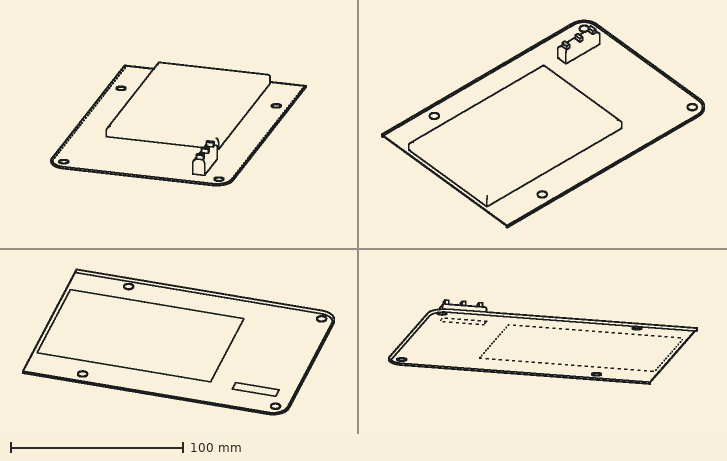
import cadquery as cq
plate_width = 110.0
plate_length = 159.0
plate_thickness = 1.6
sheet_thickness = 0.5
rim_width = 1.1
rim_edge_radius = 1.03
corner_radius = 10.0

hole_diameter = 5.5
hole_edge_distance = 8.0
hole_row_spacing = 117.0

display_width = 68.0
display_length = 105.3
display_top = 7.8
display_edge_radius = 2.2
display_back_margin = 2.5

connector_width = 7.0
connector_length = 26.4
connector_top = 10.5
connector_edge_radius = 1.5
connector_x = 34.0
connector_y = -55.6
tab_width = 4.1
tab_length = 2.2
tab_top = 13.0
tab_pitch = 10.2
tab_count = 3

front_y = -plate_length / 2
back_y = plate_length / 2


def rounded_slab(width, length, height, radius):
    """Slab on Z = 0, flush with the back of the plate, with rounded front corners."""
    slab = cq.Workplane("XY").box(width, length, height, centered=(True, True, False))
    slab = slab.translate((0, back_y - length / 2, 0))
    return slab.edges("|Z and <Y").fillet(radius)


def make_holes():
    """Four round cutters for the mounting holes."""
    hole_x = plate_width / 2 - hole_edge_distance
    first_row_y = front_y + hole_edge_distance
    hole_points = [
        (x, y)
        for x in (-hole_x, hole_x)
        for y in (first_row_y, first_row_y + hole_row_spacing)
    ]
    return (
        cq.Workplane("XY")
        .pushPoints(hole_points)
        .circle(hole_diameter / 2)
        .extrude(plate_thickness)
    )


def make_plate():
    """Thin sheet with holes and a round-edged rim below, open along the back."""
    plate = rounded_slab(plate_width, plate_length, plate_thickness, corner_radius)
    plate = plate.faces("<Z").edges("not >Y").fillet(rim_edge_radius)
    hollow = rounded_slab(
        plate_width - 2 * rim_width,
        plate_length - rim_width,
        plate_thickness - sheet_thickness,
        corner_radius - rim_width,
    )
    return plate.cut(hollow).cut(make_holes())


def block_on_plate(width, length, top, x, y):
    """Rectangular block standing on the plate and reaching up to Z = top."""
    return (
        cq.Workplane("XY", origin=(x, y, plate_thickness))
        .rect(width, length)
        .extrude(top - plate_thickness)
    )


def make_display():
    """Display block with a rounded top rim, near the back of the plate."""
    display_y = back_y - display_back_margin - display_length / 2
    display = block_on_plate(display_width, display_length, display_top, 0, display_y)
    return display.faces(">Z").edges().fillet(display_edge_radius)


def make_connector():
    """Connector body with a rounded top rim and evenly spaced tabs along Y."""
    connector = block_on_plate(
        connector_width, connector_length, connector_top, connector_x, connector_y
    )
    connector = connector.faces(">Z").edges().fillet(connector_edge_radius)
    for index in range(tab_count):
        tab_y = connector_y + (index - (tab_count - 1) / 2) * tab_pitch
        tab = block_on_plate(tab_width, tab_length, tab_top, connector_x, tab_y)
        connector = connector.union(tab)
    return connector


result = make_plate().union(make_display()).union(make_connector())